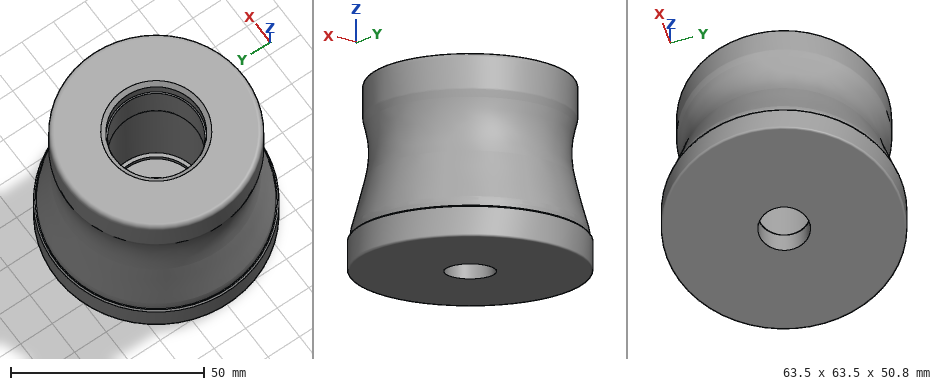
import cadquery as cq
import math

base_radius = 31.75
base_height = 8.5
base_top_chamfer = 0.45
base_bottom_fillet = 0.6
through_hole_radius = 6.8
through_hole_chamfer = 0.25
chamfer_angle = 45
recess_radius = 12.3
recess_depth = 1.3

total_height = 50.8
skirt_radius = 31.0
band_radius = 27.8
top_fillet = 1.4
band_fillet = 1.3
skirt_fillet = 5.0
waist_radius = 26.3
waist_height = 31.6
waist_arc_radius = 28.0
flare_angle = math.radians(15)

mouth_radius = 14.35
mouth_chamfer_depth = 1.0
ledge_radius = 13.0
ledge_depth = 4.05
bore_radius = 12.6
bore_depth = 14.7
cavity_flare = 0.9
cavity_flare_height = 1.5

selection_margin = 0.05
axis_start = (0, 0, 0)
axis_end = (0, 1, 0)


def make_base():
    """Disc with a chamfered top rim and rounded bottom rim, a shallow round recess and a central hole."""
    disc = cq.Workplane("XY").circle(base_radius).extrude(base_height)
    disc = disc.faces(">Z").edges().chamfer(base_top_chamfer)
    disc = disc.faces("<Z").edges().fillet(base_bottom_fillet)
    recess_floor = base_height - recess_depth
    recess = cq.Workplane("XY").workplane(offset=recess_floor).circle(recess_radius).extrude(recess_depth)
    hole = cq.Workplane("XY").circle(through_hole_radius).extrude(recess_floor)
    hole_rim = cq.Workplane("XY").workplane(offset=recess_floor)
    hole_rim = hole_rim.circle(through_hole_radius + through_hole_chamfer)
    countersink = hole_rim.extrude(-through_hole_chamfer, taper=chamfer_angle)
    return disc.cut(recess).cut(hole).cut(countersink)


def rim_at(height):
    """Selector for the circular edge whose centre lies at the given height."""
    half_width = base_radius
    return cq.selectors.BoxSelector(
        (-half_width, -half_width, height - selection_margin),
        (half_width, half_width, height + selection_margin),
    )


def make_knob_blank():
    """Waisted solid: an arc blends into a cone above and a cone below it."""
    arc_half_height = waist_arc_radius * math.sin(flare_angle)
    arc_end_radius = waist_radius + waist_arc_radius * (1 - math.cos(flare_angle))
    arc_bottom = waist_height - arc_half_height
    arc_top = waist_height + arc_half_height
    slope = math.tan(flare_angle)
    skirt_top = arc_bottom - (skirt_radius - arc_end_radius) / slope
    band_bottom = arc_top + (band_radius - arc_end_radius) / slope
    profile = (
        cq.Workplane("XZ")
        .moveTo(0, base_height)
        .lineTo(skirt_radius, base_height)
        .lineTo(skirt_radius, skirt_top)
        .lineTo(arc_end_radius, arc_bottom)
        .threePointArc((waist_radius, waist_height), (arc_end_radius, arc_top))
        .lineTo(band_radius, band_bottom)
        .lineTo(band_radius, total_height)
        .lineTo(0, total_height)
        .close()
    )
    blank = profile.revolve(360, axis_start, axis_end)
    blank = blank.faces(">Z").edges().fillet(top_fillet)
    blank = blank.edges(rim_at(band_bottom)).fillet(band_fillet)
    return blank.edges(rim_at(skirt_top)).fillet(skirt_fillet)


def make_bore():
    """Stepped bore with a chamfered mouth, flaring into a wider cavity at the bottom."""
    ledge_z = total_height - ledge_depth
    bore_bottom = total_height - bore_depth
    cavity_radius = bore_radius + cavity_flare
    outline = [
        (0, total_height),
        (mouth_radius, total_height),
        (ledge_radius, total_height - mouth_chamfer_depth),
        (ledge_radius, ledge_z),
        (bore_radius, ledge_z),
        (bore_radius, bore_bottom),
        (cavity_radius, bore_bottom - cavity_flare_height),
        (cavity_radius, base_height),
        (0, base_height),
    ]
    return cq.Workplane("XZ").polyline(outline).close().revolve(360, axis_start, axis_end)


base = make_base()
knob = make_knob_blank().cut(make_bore())

result = cq.Compound.makeCompound([base.val(), knob.val()])